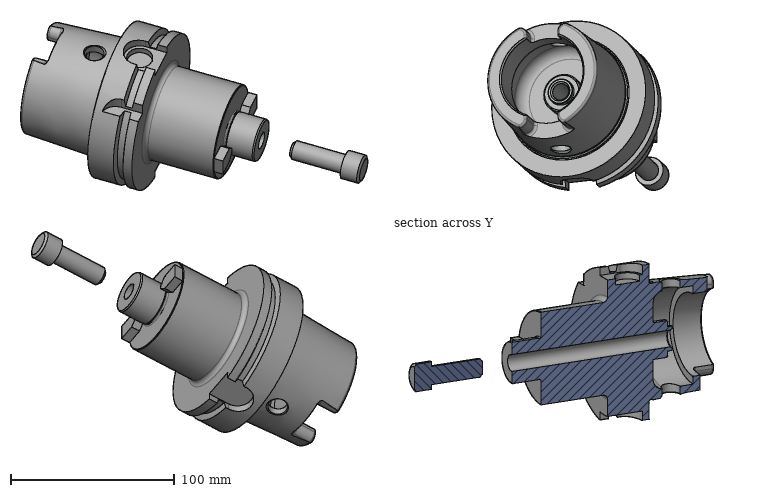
import cadquery as cq
import math


taper_length = 50.0
gauge_diameter = 75.0
gauge_x = -10.0
taper_rate = 0.1
tip_round = 1.5
undercut_start = -2.7
undercut_floor_start = -1.9
undercut_radius = 37.4
undercut_ramp = 0.9
face_relief_diameter = 78.6
face_relief_depth = 0.2

flange_diameter = 100.0
flange_width = 29.0
groove_x = 20.0
groove_floor_width = 4.2
groove_mouth_width = 6.3
groove_depth = 4.0

body_diameter = 60.0
body_end = 75.0
body_fillet = 3.0
body_chamfer = 0.5
neck_diameter = 26.6
neck_width = 2.0
neck_fillet = 0.7
neck_ramp = 0.5
pilot_diameter = 27.0
pilot_end = 95.0
pilot_chamfer_length = 1.0
pilot_chamfer_depth = 0.5

bore_diameter = 53.0
mouth_diameter = 55.0
cavity_diameter = 63.0
bore_end = -30.0
cavity_floor = -2.8
cavity_floor_fillet = 6.9

hub_diameter = 24.0
hub_end = -12.8
hub_chamfer = 0.9
spigot_diameter = 16.0
spigot_end = -15.7
spigot_chamfer = 0.35
thread_diameter = 10.5
thread_mouth_diameter = 12.5

tip_slot_width = 20.0
tip_slot_corner = 5.0
tip_slot_land_z = 32.2
tip_slot_depths = {1: 10.0, -1: 15.0}
tip_slot_edge_fillet = 1.9
tip_slot_clearance = 5.0

access_diameter = 12.0
access_x = -14.8
access_sink_z = 36.3

keyway_width = 20.0
keyway_end_x = 15.0
keyway_floor = 44.0
dimple_diameter = 16.0
dimple_depth = 4.0
notch_wall = 31.5

key_width = 12.0
key_end = 80.8
key_outer = 29.2
key_shoulder = 18.2

screw_diameter = 12.0
screw_start = 115.0
screw_tip_chamfer = 1.75
head_diameter = 18.0
head_start = 150.0
screw_end = 162.0
head_chamfer_length = 1.2
head_chamfer_depth = 1.8


def taper_radius(x):
    return gauge_diameter / 2 + taper_rate / 2 * (x - gauge_x)


def revolve_about_x(profile):
    return profile.close().revolve(360, (0, 0, 0), (1, 0, 0))


def make_outer_body():
    flange_r = flange_diameter / 2
    body_r = body_diameter / 2
    pilot_r = pilot_diameter / 2
    neck_r = neck_diameter / 2
    groove_floor_r = flange_r - groove_depth
    relief_r = face_relief_diameter / 2
    diagonal = math.sqrt(0.5)
    body_middle = (
        flange_width + body_fillet * (1 - diagonal),
        body_r + body_fillet * (1 - diagonal),
    )
    neck_middle = (
        body_end + neck_fillet * (1 - diagonal),
        neck_r + neck_fillet * (1 - diagonal),
    )
    return revolve_about_x(
        cq.Workplane("XY")
        .moveTo(-taper_length, 0)
        .lineTo(-taper_length, taper_radius(-taper_length))
        .lineTo(undercut_start, taper_radius(undercut_start))
        .lineTo(undercut_floor_start, undercut_radius)
        .lineTo(face_relief_depth - undercut_ramp, undercut_radius)
        .lineTo(face_relief_depth, undercut_radius + undercut_ramp)
        .lineTo(face_relief_depth, relief_r - face_relief_depth)
        .lineTo(0, relief_r)
        .lineTo(0, flange_r)
        .lineTo(groove_x - groove_mouth_width / 2, flange_r)
        .lineTo(groove_x - groove_floor_width / 2, groove_floor_r)
        .lineTo(groove_x + groove_floor_width / 2, groove_floor_r)
        .lineTo(groove_x + groove_mouth_width / 2, flange_r)
        .lineTo(flange_width, flange_r)
        .lineTo(flange_width, body_r + body_fillet)
        .threePointArc(body_middle, (flange_width + body_fillet, body_r))
        .lineTo(body_end - body_chamfer, body_r)
        .lineTo(body_end, body_r - body_chamfer)
        .lineTo(body_end, neck_r + neck_fillet)
        .threePointArc(neck_middle, (body_end + neck_fillet, neck_r))
        .lineTo(body_end + neck_width - neck_ramp, neck_r)
        .lineTo(body_end + neck_width, pilot_r)
        .lineTo(pilot_end - pilot_chamfer_length, pilot_r)
        .lineTo(pilot_end, pilot_r - pilot_chamfer_depth)
        .lineTo(pilot_end, 0)
    )


def make_cavity():
    bore_r = bore_diameter / 2
    mouth_r = mouth_diameter / 2
    cavity_r = cavity_diameter / 2
    cavity = revolve_about_x(
        cq.Workplane("XY")
        .moveTo(-taper_length, 0)
        .lineTo(-taper_length, mouth_r)
        .lineTo(-taper_length + mouth_r - bore_r, bore_r)
        .lineTo(bore_end, bore_r)
        .lineTo(bore_end, cavity_r)
        .lineTo(cavity_floor, cavity_r)
        .lineTo(cavity_floor, 0)
    )
    return cavity.faces(">X").edges().fillet(cavity_floor_fillet)


def make_hub():
    hub_r = hub_diameter / 2
    spigot_r = spigot_diameter / 2
    return revolve_about_x(
        cq.Workplane("XY")
        .moveTo(spigot_end, 0)
        .lineTo(spigot_end, spigot_r - spigot_chamfer)
        .lineTo(spigot_end + spigot_chamfer, spigot_r)
        .lineTo(hub_end, spigot_r)
        .lineTo(hub_end, hub_r - hub_chamfer)
        .lineTo(hub_end + hub_chamfer, hub_r)
        .lineTo(cavity_floor, hub_r)
        .lineTo(cavity_floor, 0)
    )


def make_thread_hole():
    hole_r = thread_diameter / 2
    mouth_r = thread_mouth_diameter / 2
    return revolve_about_x(
        cq.Workplane("XY")
        .moveTo(spigot_end, 0)
        .lineTo(spigot_end, mouth_r)
        .lineTo(spigot_end + mouth_r - hole_r, hole_r)
        .lineTo(pilot_end, hole_r)
        .lineTo(pilot_end, 0)
    )


def make_tip_slot(side, depth):
    """Slot across the tip on the +Z or -Z side, flaring outward along quarter rounds."""
    half = tip_slot_width / 2
    flare = half + tip_slot_corner
    corner_z = tip_slot_land_z - tip_slot_corner
    bend = tip_slot_corner * math.sqrt(0.5)
    reach = gauge_diameter / 2
    top = reach + tip_slot_clearance
    slot = (
        cq.Workplane("YZ", origin=(-taper_length, 0, 0))
        .moveTo(-half, 0)
        .lineTo(half, 0)
        .lineTo(half, corner_z)
        .threePointArc((flare - bend, corner_z + bend), (flare, tip_slot_land_z))
        .lineTo(reach, tip_slot_land_z)
        .lineTo(reach, top)
        .lineTo(-reach, top)
        .lineTo(-reach, tip_slot_land_z)
        .lineTo(-flare, tip_slot_land_z)
        .threePointArc((bend - flare, corner_z + bend), (-half, corner_z))
        .close()
        .extrude(depth)
    )
    clearance = (
        cq.Workplane("XY")
        .box(tip_slot_clearance, 2 * reach, top, centered=(False, True, False))
        .translate((-taper_length - tip_slot_clearance, 0, 0))
    )
    slot = slot.union(clearance)
    entry = cq.selectors.BoxSelector(
        (-taper_length - tip_round / 2, 1 - reach, 1),
        (-taper_length + tip_round / 2, reach - 1, top - 1),
    )
    slot = slot.edges(entry).fillet(tip_round)
    slot = slot.faces(">X").edges("not(<Z or >Z or <Y or >Y)").fillet(tip_slot_edge_fillet)
    return slot if side > 0 else slot.mirror("XY")


def make_access_hole(side):
    hole_r = access_diameter / 2
    top = gauge_diameter / 2 + 1
    sink_depth = top - access_sink_z
    base = cq.Vector(access_x, 0, 0)
    sink_base = cq.Vector(access_x, 0, access_sink_z)
    hole = cq.Workplane(obj=cq.Solid.makeCylinder(hole_r, top, base))
    hole = hole.union(cq.Workplane(obj=cq.Solid.makeCone(hole_r, hole_r + sink_depth, sink_depth, sink_base)))
    return hole if side > 0 else hole.mirror("XY")


def make_keyway(floor):
    """Round-ended slot, open toward +X, from a flat floor up to the top of the flange."""
    top = flange_diameter / 2
    length = flange_width - keyway_end_x
    half = keyway_width / 2
    return (
        cq.Workplane("XY", origin=(keyway_end_x, 0, floor))
        .moveTo(0, half)
        .threePointArc((-half, 0), (0, -half))
        .lineTo(length, -half)
        .lineTo(length, half)
        .close()
        .extrude(top - floor)
    )


def make_key(side):
    """Drive key on the +Y or -Y side with a pointed inner end."""
    half = key_width / 2
    tip = key_shoulder - half
    return (
        cq.Workplane("YZ", origin=(body_end, 0, 0))
        .polyline([
            (side * key_outer, -half),
            (side * key_outer, half),
            (side * key_shoulder, half),
            (side * tip, 0),
            (side * key_shoulder, -half),
        ])
        .close()
        .extrude(key_end - body_end)
    )


def make_arbor():
    arbor = make_outer_body().faces("<X").edges().fillet(tip_round)
    for side, depth in tip_slot_depths.items():
        arbor = arbor.cut(make_tip_slot(side, depth))
    arbor = arbor.cut(make_cavity())
    for side in (1, -1):
        arbor = arbor.cut(make_access_hole(side))
    keyway = make_keyway(keyway_floor)
    dimple = (
        cq.Workplane("XY", origin=(keyway_end_x, 0, keyway_floor))
        .circle(dimple_diameter / 2)
        .extrude(-dimple_depth)
    )
    notch = make_keyway(notch_wall).translate((0, -notch_wall - keyway_width / 2, 0))
    arbor = arbor.cut(keyway).cut(keyway.mirror("XY")).cut(dimple).cut(notch)
    for side in (1, -1):
        arbor = arbor.union(make_key(side))
    return arbor.union(make_hub()).cut(make_thread_hole())


def make_screw():
    shank_r = screw_diameter / 2
    head_r = head_diameter / 2
    return revolve_about_x(
        cq.Workplane("XY")
        .moveTo(screw_start, 0)
        .lineTo(screw_start, shank_r - screw_tip_chamfer)
        .lineTo(screw_start + screw_tip_chamfer, shank_r)
        .lineTo(head_start, shank_r)
        .lineTo(head_start, head_r)
        .lineTo(screw_end - head_chamfer_length, head_r)
        .lineTo(screw_end, head_r - head_chamfer_depth)
        .lineTo(screw_end, 0)
    )


arbor = make_arbor()
screw = make_screw()
result = cq.Compound.makeCompound([arbor.val(), screw.val()])